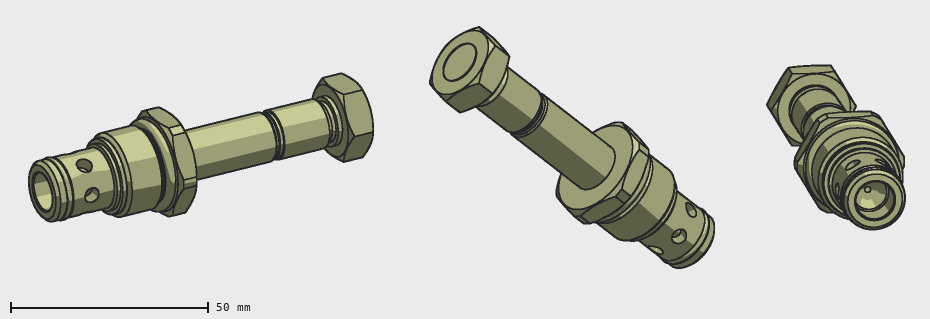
import cadquery as cq
import math

LENGTH = 90.9

SLEEVE_RADIUS = 7.9
TIP_CHAMFER = 0.9
SLEEVE_END = 16.45
PORT_COUNT = 6
PORT_DIAMETER = 4.0
PORT_POSITION = 10.0

SMALL_SHOULDER_RADIUS = 8.7
SMALL_SHOULDER_CONE_LENGTH = 0.4
SMALL_SHOULDER_END = 17.8
LARGE_SHOULDER_RADIUS = 9.8
LARGE_SHOULDER_END = 19.0

BODY_RADIUS = 10.9
BODY_CHAMFER = 0.9
BODY_END = 29.45
BODY_CHAMFER_RADIUS = BODY_RADIUS - BODY_CHAMFER

TIP_SEAL_POSITION = 3.7
TIP_SEAL_SECTION_RADIUS = 0.9
TIP_SEAL_OUTER_RADIUS = 8.2
TIP_GROOVE_START = 2.9
TIP_GROOVE_END = 4.7
TIP_GROOVE_RADIUS = 6.45
BODY_SEAL_SECTION_RADIUS = 1.3
BODY_SEAL_SEAT_START = 29.8
BODY_SEAL_SEAT_RADIUS = 9.5
BODY_SEAL_OUTER_RADIUS = 12.0

WRENCH_START = 32.45
WRENCH_END = 37.9
WRENCH_FLATS = 25.0
WRENCH_ACROSS_CORNERS = 27.5
WRENCH_FACE_RADIUS = 12.3

STEM_RADIUS = 6.45
STEM_GROOVE_START = 64.2
STEM_GROOVE_END = 66.6
STEM_GROOVE_RADIUS = 5.9
STEM_RING_RADIUS = 6.0
STEM_RING_START = 64.6
STEM_RING_NOTCH_START = 65.0
STEM_RING_END = 65.6
STEM_RING_NOTCH_DEPTH = 0.1
STEM_CONE_START = 79.6
STEM_CONE_END = 81.0
STEM_NECK_RADIUS = 5.4
STEM_NECK_END = 82.1

HEAD_START = 83.4
HEAD_PAD_HEIGHT = 0.3
HEAD_PAD_RADIUS = 5.45
HEAD_END = LENGTH - HEAD_PAD_HEIGHT
HEAD_FLATS = 19.0
HEAD_FACE_RADIUS = 9.4

HEX_CHAMFER_ANGLE = 30.0

BORE_RADIUS = 4.9
BORE_CHAMFER = 0.33
BORE_DEPTH = 7.3
CORE_RADIUS = 4.4
OUTER_CONE_SLOPE = 45.0
INNER_CONE_RADIUS = 2.45
INNER_CONE_SLOPE = 31.0
BORE_FLOOR_RADIUS = 0.77


def revolve_about_y(profile):
    return profile.close().revolve(360, (0, 0, 0), (0, 1, 0))


def turned_body():
    """Full outer profile from the tip to the pad on the hex head, without the hexagons and O-rings."""
    notch_middle = (STEM_RING_NOTCH_START + STEM_RING_END) / 2
    return revolve_about_y(
        cq.Workplane("XY")
        .moveTo(0, 0)
        .lineTo(SLEEVE_RADIUS - TIP_CHAMFER, 0)
        .lineTo(SLEEVE_RADIUS, TIP_CHAMFER)
        .lineTo(SLEEVE_RADIUS, SLEEVE_END)
        .lineTo(SMALL_SHOULDER_RADIUS, SLEEVE_END + SMALL_SHOULDER_CONE_LENGTH)
        .lineTo(SMALL_SHOULDER_RADIUS, SMALL_SHOULDER_END)
        .lineTo(LARGE_SHOULDER_RADIUS, SMALL_SHOULDER_END)
        .lineTo(LARGE_SHOULDER_RADIUS, LARGE_SHOULDER_END)
        .lineTo(BODY_CHAMFER_RADIUS, LARGE_SHOULDER_END)
        .lineTo(BODY_RADIUS, LARGE_SHOULDER_END + BODY_CHAMFER)
        .lineTo(BODY_RADIUS, BODY_END - BODY_CHAMFER)
        .lineTo(BODY_CHAMFER_RADIUS, BODY_END)
        .lineTo(BODY_CHAMFER_RADIUS, BODY_SEAL_SEAT_START)
        .lineTo(BODY_SEAL_SEAT_RADIUS, BODY_SEAL_SEAT_START)
        .lineTo(BODY_SEAL_SEAT_RADIUS, WRENCH_END)
        .lineTo(STEM_RADIUS, WRENCH_END)
        .lineTo(STEM_RADIUS, STEM_GROOVE_START)
        .lineTo(STEM_RING_RADIUS, STEM_RING_START)
        .lineTo(STEM_RING_RADIUS, STEM_RING_NOTCH_START)
        .lineTo(STEM_RING_RADIUS - STEM_RING_NOTCH_DEPTH, notch_middle)
        .lineTo(STEM_RING_RADIUS, STEM_RING_END)
        .lineTo(STEM_GROOVE_RADIUS, STEM_RING_END)
        .lineTo(STEM_GROOVE_RADIUS, STEM_GROOVE_END)
        .lineTo(STEM_RADIUS, STEM_GROOVE_END)
        .lineTo(STEM_RADIUS, STEM_CONE_START)
        .lineTo(STEM_NECK_RADIUS, STEM_CONE_END)
        .lineTo(STEM_NECK_RADIUS, STEM_NECK_END)
        .lineTo(STEM_RADIUS, STEM_NECK_END)
        .lineTo(STEM_RADIUS, HEAD_START)
        .lineTo(HEAD_PAD_RADIUS, HEAD_START)
        .lineTo(HEAD_PAD_RADIUS, LENGTH)
        .lineTo(0, LENGTH)
    )


def hexagon(start, end, flats, corner_radius, face_radius):
    """Hexagonal prism along Y, flats facing +Z and -Z, trimmed by a cylinder with chamfered ends."""
    chamfer = (corner_radius - face_radius) * math.tan(math.radians(HEX_CHAMFER_ANGLE))
    across_corners = flats / math.cos(math.pi / 6)
    prism = (
        cq.Workplane("XZ", origin=(0, start, 0))
        .polygon(6, across_corners)
        .extrude(start - end)
    )
    envelope = revolve_about_y(
        cq.Workplane("XY")
        .moveTo(0, start)
        .lineTo(face_radius, start)
        .lineTo(corner_radius, start + chamfer)
        .lineTo(corner_radius, end - chamfer)
        .lineTo(face_radius, end)
        .lineTo(0, end)
    )
    return prism.intersect(envelope)


def o_ring(position, section_radius, outer_radius):
    ring_radius = outer_radius - section_radius
    section = cq.Workplane("XY").center(-ring_radius, position).circle(section_radius)
    return section.revolve(360, (ring_radius, 0, 0), (ring_radius, 1, 0))


def tip_groove():
    return (
        cq.Workplane("XZ", origin=(0, TIP_GROOVE_START, 0))
        .circle(TIP_SEAL_OUTER_RADIUS)
        .circle(TIP_GROOVE_RADIUS)
        .extrude(TIP_GROOVE_START - TIP_GROOVE_END)
    )


def cone_depth(large_radius, small_radius, slope):
    return (large_radius - small_radius) * math.tan(math.radians(slope))


def bore():
    """Blind bore whose floor is two nested cones with a small flat at the centre."""
    inner_cone_start = BORE_DEPTH + cone_depth(CORE_RADIUS, INNER_CONE_RADIUS, OUTER_CONE_SLOPE)
    floor = inner_cone_start + cone_depth(INNER_CONE_RADIUS, BORE_FLOOR_RADIUS, INNER_CONE_SLOPE)
    return revolve_about_y(
        cq.Workplane("XY")
        .moveTo(0, 0)
        .lineTo(BORE_RADIUS + BORE_CHAMFER, 0)
        .lineTo(BORE_RADIUS, BORE_CHAMFER)
        .lineTo(BORE_RADIUS, BORE_DEPTH)
        .lineTo(CORE_RADIUS, BORE_DEPTH)
        .lineTo(INNER_CONE_RADIUS, inner_cone_start)
        .lineTo(BORE_FLOOR_RADIUS, floor)
        .lineTo(0, floor)
    )


def radial_ports():
    """Ring of blind radial holes that stop at the surface of the cylindrical core."""
    ports = cq.Workplane("YZ")
    for index in range(PORT_COUNT):
        port = (
            cq.Workplane("YZ")
            .center(PORT_POSITION, 0)
            .circle(PORT_DIAMETER / 2)
            .extrude(BODY_RADIUS)
            .rotate((0, 0, 0), (0, 1, 0), index * 360 / PORT_COUNT)
        )
        ports = ports.add(port)
    core = cq.Workplane("XZ").circle(CORE_RADIUS).extrude(-SLEEVE_END)
    return ports.combine().cut(core)


part = turned_body().cut(tip_groove()).cut(bore()).cut(radial_ports())
wrench_corner_radius = WRENCH_ACROSS_CORNERS / 2
wrench_hexagon = hexagon(WRENCH_START, WRENCH_END, WRENCH_FLATS, wrench_corner_radius, WRENCH_FACE_RADIUS)
head_corner_radius = HEAD_FLATS / 2 / math.cos(math.pi / 6)
head = hexagon(HEAD_START, HEAD_END, HEAD_FLATS, head_corner_radius, HEAD_FACE_RADIUS)
tip_seal = o_ring(TIP_SEAL_POSITION, TIP_SEAL_SECTION_RADIUS, TIP_SEAL_OUTER_RADIUS)
body_seal_position = WRENCH_START - BODY_SEAL_SECTION_RADIUS
body_seal = o_ring(body_seal_position, BODY_SEAL_SECTION_RADIUS, BODY_SEAL_OUTER_RADIUS)

result = part.union(wrench_hexagon).union(head).union(tip_seal).union(body_seal)